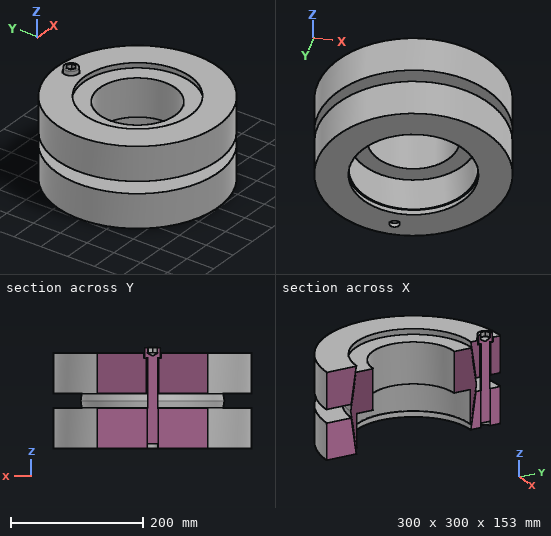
import cadquery as cq
import math

disc_diameter = 300.0
disc_thickness = 61.5
disc_gap = 21.5
assembly_height = 2 * disc_thickness + disc_gap
mid_height = assembly_height / 2

cone_mid_radius = 109.0
cone_rim_radius = 98.5
cone_slope = (cone_mid_radius - cone_rim_radius) / mid_height

ring_recess = 10.0
ring_half_height = mid_height - ring_recess
ring_end_radius = cone_mid_radius - cone_slope * ring_half_height
ring_bore_diameter = 140.0
ring_counterbore_diameter = 195.0
ring_shoulder_height = 66.0

screw_y = 124.0
total_height = 153.0
shank_diameter = 16.0
shank_length = 130.0
head_diameter = 24.0
head_height = 16.0
head_fillet = 1.2
head_seat = total_height - head_height
socket_flat_width = 13.8
socket_corner_diameter = socket_flat_width / math.cos(math.radians(30))
socket_depth = 8.0
socket_tip_angle = 120.0
socket_tip_depth = socket_corner_diameter / 2 / math.tan(math.radians(socket_tip_angle / 2))

clearance_diameter = 18.0
head_recess_diameter = 26.0


def vertical_cylinder(diameter, bottom, top, y=0.0):
    """Solid cylinder on a vertical axis at x = 0."""
    return (
        cq.Workplane("XY", origin=(0, y, bottom))
        .circle(diameter / 2)
        .extrude(top - bottom)
    )


def double_cone(half_height, end_radius):
    """Solid of two equal cones joined at their wide ends at mid height."""
    return (
        cq.Workplane("XZ")
        .moveTo(0, mid_height - half_height)
        .lineTo(end_radius, mid_height - half_height)
        .lineTo(cone_mid_radius, mid_height)
        .lineTo(end_radius, mid_height + half_height)
        .lineTo(0, mid_height + half_height)
        .close()
        .revolve(360, (0, 0, 0), (0, 1, 0))
    )


def make_disc(bottom):
    """Plain clamping disc with its conical bore."""
    disc = vertical_cylinder(disc_diameter, bottom, bottom + disc_thickness)
    return disc.cut(double_cone(mid_height, cone_rim_radius))


def make_lower_disc():
    """Disc whose hole holds the screw shank."""
    shank_hole = vertical_cylinder(shank_diameter, 0, disc_thickness, screw_y)
    return make_disc(0).cut(shank_hole)


def make_upper_disc():
    """Disc with a clearance hole and a recess for the screw head."""
    bottom = disc_thickness + disc_gap
    clearance_hole = vertical_cylinder(clearance_diameter, bottom, assembly_height, screw_y)
    head_recess = vertical_cylinder(head_recess_diameter, head_seat, assembly_height, screw_y)
    return make_disc(bottom).cut(clearance_hole).cut(head_recess)


def make_ring():
    """Double-tapered ring with a bore that widens in its lower half."""
    bore = vertical_cylinder(ring_bore_diameter, 0, assembly_height)
    counterbore = vertical_cylinder(ring_counterbore_diameter, 0, ring_shoulder_height)
    return double_cone(ring_half_height, ring_end_radius).cut(bore).cut(counterbore)


def make_socket():
    """Hexagonal socket with two flats facing along X and a conical floor."""
    floor_height = total_height - socket_depth
    hexagon = (
        cq.Workplane("XY", origin=(0, screw_y, floor_height))
        .transformed(rotate=(0, 0, 90))
        .polygon(6, socket_corner_diameter)
        .extrude(socket_depth)
    )
    tip = cq.Workplane(
        cq.Solid.makeCone(
            socket_corner_diameter / 2,
            0,
            socket_tip_depth,
            pnt=cq.Vector(0, screw_y, floor_height),
            dir=cq.Vector(0, 0, -1),
        )
    )
    return hexagon.union(tip)


def make_screw():
    """Socket-head screw with a rounded head rim."""
    head = vertical_cylinder(head_diameter, head_seat, total_height, screw_y)
    head = head.faces(">Z").edges().fillet(head_fillet)
    shank = vertical_cylinder(shank_diameter, head_seat - shank_length, head_seat, screw_y)
    return head.union(shank).cut(make_socket())


lower_disc = make_lower_disc()
upper_disc = make_upper_disc()
ring = make_ring()
screw = make_screw()

result = cq.Compound.makeCompound([lower_disc.val(), upper_disc.val(), ring.val(), screw.val()])